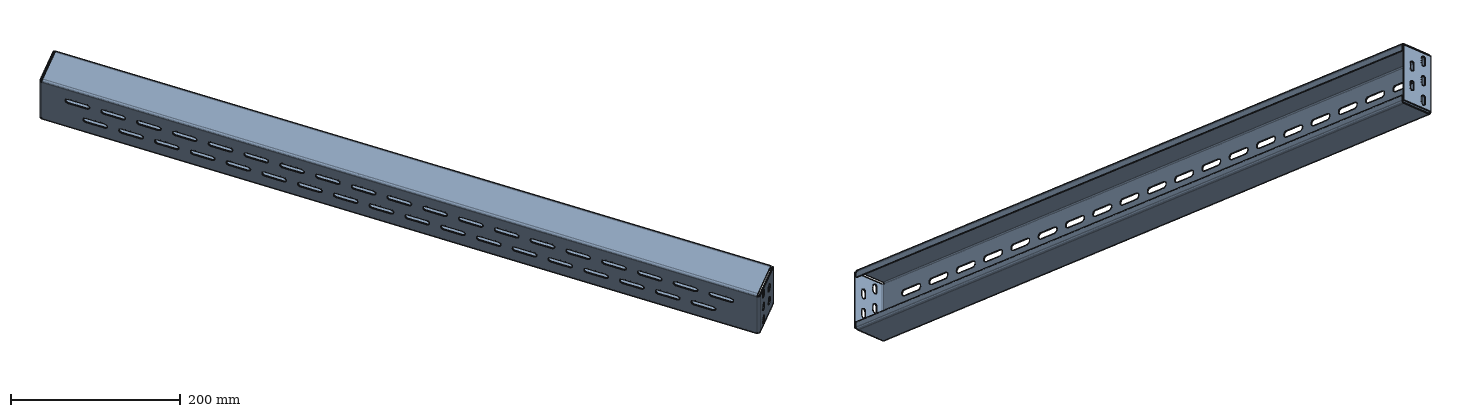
import cadquery as cq


length = 906.0
depth = 48.0
height = 78.0

sheet = 1.5
bend_outer = 3.0
bend_inner = bend_outer - sheet
lip_height = 10.0

web_slot_length = 31.0
web_slot_width = 8.0
web_row_spacing = 27.0
upper_row_span = 810.0
upper_row_count = 19
lower_row_count = upper_row_count - 1
web_slot_pitch = upper_row_span / (upper_row_count - 1)

end_slot_length = 13.0
end_slot_width = 6.0
end_slot_pitch = 25.0
front_column_y = 14.5
rear_column_y = 33.5
front_column_count = 3
rear_column_count = front_column_count - 1


def rounded_block(size_x, size_y, size_z, bend_edges, radius):
    """Block centred in X and Z with its front at Y = 0, rounded on the chosen edges."""
    block = cq.Workplane("XY").box(size_x, size_y, size_z, centered=(True, False, True))
    return block.edges(bend_edges).fillet(radius)


def make_channel():
    """Web, flanges and return lips, stopping short of the end bends."""
    channel_length = length - 2 * bend_outer
    outside = rounded_block(channel_length, depth, height, "|X", bend_outer)
    hollow = rounded_block(
        channel_length, depth - 2 * sheet, height - 2 * sheet, "|X", bend_inner
    ).translate((0, sheet, 0))
    mouth = (
        cq.Workplane("XY")
        .box(channel_length, depth / 2, height - 2 * lip_height, centered=(True, False, True))
        .translate((0, depth / 2, 0))
    )
    return outside.cut(hollow).cut(mouth)


def make_web_with_end_tabs():
    """Web bent rearward at both ends, stopping short of the flange bends."""
    tab_height = height - 2 * bend_outer
    outside = rounded_block(length, depth, tab_height, "|Z and <Y", bend_outer)
    hollow = rounded_block(
        length - 2 * sheet, depth, tab_height, "|Z and <Y", bend_inner
    ).translate((0, sheet, 0))
    return outside.cut(hollow)


def centred_row(count, pitch, offset):
    """Points of an evenly spaced row, centred on zero."""
    return [((i - (count - 1) / 2) * pitch, offset) for i in range(count)]


def web_slot_cutter():
    """Both rows of web slots."""
    upper = centred_row(upper_row_count, web_slot_pitch, web_row_spacing / 2)
    lower = centred_row(lower_row_count, web_slot_pitch, -web_row_spacing / 2)
    return (
        cq.Workplane("XZ")
        .pushPoints(upper + lower)
        .slot2D(web_slot_length, web_slot_width)
        .extrude(-depth / 2)
    )


def end_slot_cutter():
    """Both columns of upright slots, running through the two end tabs."""
    front = centred_row(front_column_count, end_slot_pitch, front_column_y)
    rear = centred_row(rear_column_count, end_slot_pitch, rear_column_y)
    upright_points = [(y, z) for z, y in front + rear]
    return (
        cq.Workplane("YZ")
        .pushPoints(upright_points)
        .slot2D(end_slot_length, end_slot_width, 90)
        .extrude(length / 2, both=True)
    )


folded_sheet = make_channel().union(make_web_with_end_tabs())
result = folded_sheet.cut(web_slot_cutter()).cut(end_slot_cutter())